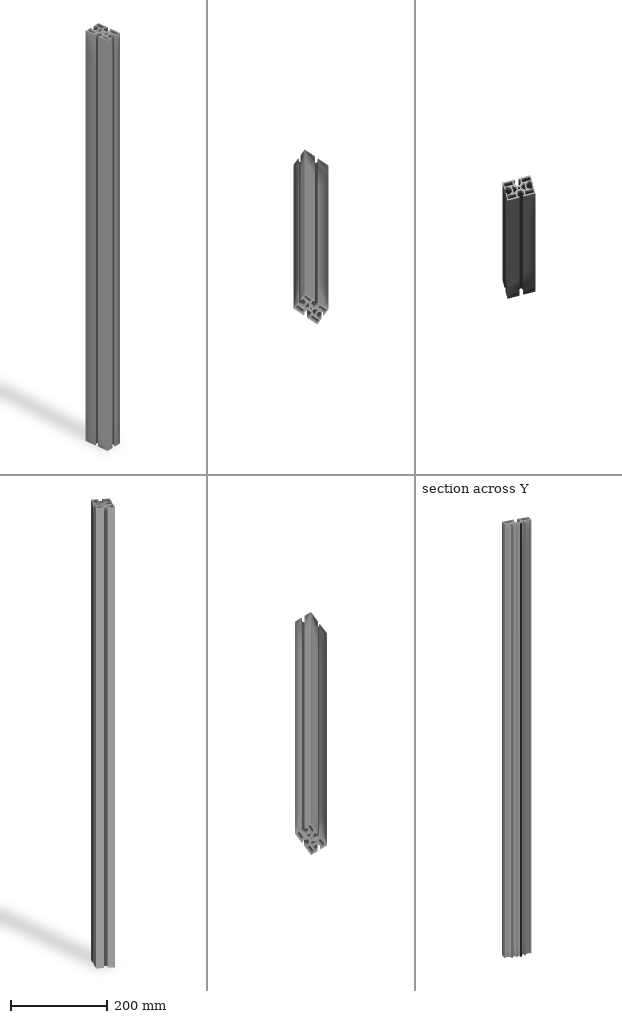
import cadquery as cq

width = 60.0
depth = 40.0
length = 1000.0
half_width = width / 2
half_depth = depth / 2

mouth_half = 4.0
lip = 3.0
long_side_undercut_half = 7.0
long_side_undercut_end = 7.0
long_side_floor = 14.0
long_side_floor_half = 4.0
short_side_undercut_half = 8.0
short_side_undercut_end = 7.0
short_side_floor = 14.0
short_side_floor_half = 4.0

chamber_wall = 2.0
chamber_top_wall = 3.0
chamber_length = 18.0
chamber_height = 7.0

core_outer_x = 13.0
core_inner_x = 5.0
core_outer_half = 8.0
core_inner_half = 2.0

bore_diameter = 5.0


def prism(points):
    """Full-length prism on a closed XY outline."""
    return cq.Workplane("XY").polyline(points).close().extrude(length)


def t_slot(face, undercut_half, undercut_end, floor, floor_half):
    """T-slot opening toward +Y, with depths measured from the outer face."""
    right_side = [
        (mouth_half, face),
        (mouth_half, face - lip),
        (undercut_half, face - lip),
        (undercut_half, face - undercut_end),
        (floor_half, face - floor),
    ]
    left_side = [(-x, y) for x, y in reversed(right_side)]
    return prism(right_side + left_side)


def corner_chamber(x_sign, y_sign):
    """Rectangular chamber behind one outer corner."""
    center_x = half_width - chamber_wall - chamber_length / 2
    center_y = half_depth - chamber_top_wall - chamber_height / 2
    return (
        cq.Workplane("XY")
        .center(x_sign * center_x, y_sign * center_y)
        .rect(chamber_length, chamber_height)
        .extrude(length)
    )


def core_chamber(x_sign):
    """Trapezoidal chamber between a short-side slot and the central web."""
    return prism([
        (x_sign * core_outer_x, -core_outer_half),
        (x_sign * core_outer_x, core_outer_half),
        (x_sign * core_inner_x, core_inner_half),
        (x_sign * core_inner_x, -core_inner_half),
    ])


result = cq.Workplane("XY").rect(width, depth).extrude(length)

long_side_slot = t_slot(
    half_depth,
    long_side_undercut_half,
    long_side_undercut_end,
    long_side_floor,
    long_side_floor_half,
)
short_side_slot = t_slot(
    half_width,
    short_side_undercut_half,
    short_side_undercut_end,
    short_side_floor,
    short_side_floor_half,
)
for slot, first_angle in ((long_side_slot, 0), (short_side_slot, 90)):
    for angle in (first_angle, first_angle + 180):
        result = result.cut(slot.rotate((0, 0, 0), (0, 0, 1), angle))

for x_sign in (-1, 1):
    result = result.cut(core_chamber(x_sign))
    for y_sign in (-1, 1):
        result = result.cut(corner_chamber(x_sign, y_sign))

bore = cq.Workplane("XY").circle(bore_diameter / 2).extrude(length)
result = result.cut(bore)